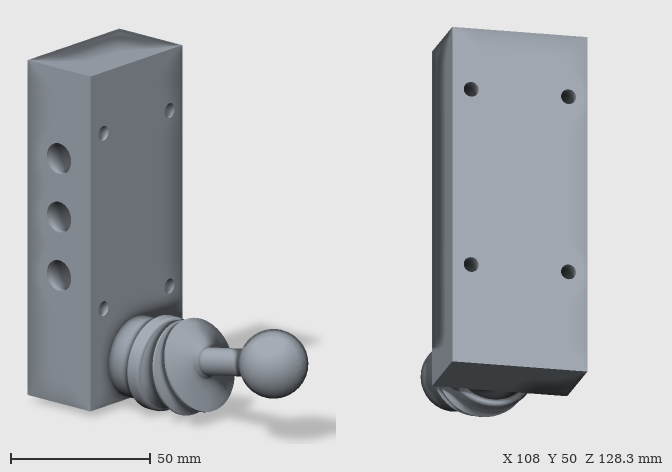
import cadquery as cq
import math

BODY_DEPTH = 30.0
BODY_WIDTH = 50.0
BODY_HEIGHT = 126.0

PORT_DIAMETER = 11.5
PORT_DEPTH = 15.0
PORT_MIDDLE_Z = 70.0
PORT_SPACING = 22.0
PORT_COUNT = 3

MOUNT_DIAMETER = 5.5
MOUNT_SPACING_Y = 36.0
MOUNT_SPACING_Z = 66.0

NECK_DIAMETER = 30.0
NECK_LENGTH = 10.0
NECK_CENTRE_Z = NECK_DIAMETER / 2
COLLAR_RADIUS = 17.3
COLLAR_RIM_LENGTH = 6.0
COLLAR_ROUND = 1.3

LEVER_ANGLE = 10.0
STEM_DIAMETER = 10.0
BALL_RADIUS = 12.5
BALL_CENTRE_X = 95.46
BALL_CENTRE_Z = 25.6

FOLD_RADIUS = 17.2
WAIST_RADIUS = 9.5
RING_WIDTH = 0.8
BELLOWS_RINGS = [
    (49.5, NECK_CENTRE_Z, WAIST_RADIUS, 5.7),
    (53.6, 15.5, FOLD_RADIUS, 12.4),
    (56.6, 16.3, WAIST_RADIUS, 16.0),
    (60.1, 17.8, FOLD_RADIUS, 22.5),
]

LIP_X = 63.4
LIP_RADIUS = 6.35
LIP_LENGTH = 1.0

COLLAR_START_X = BODY_DEPTH + NECK_LENGTH
COLLAR_RIM_END_X = COLLAR_START_X + COLLAR_RIM_LENGTH


def lever_axis_z(x):
    """Height of the stem axis at a given X."""
    return BALL_CENTRE_Z - (BALL_CENTRE_X - x) * math.tan(math.radians(LEVER_ANGLE))


def tilted_plane(x, z, tilt):
    """Plane facing +X, leaning upward by tilt degrees."""
    lean = math.radians(tilt)
    return cq.Plane(origin=(x, 0, z), xDir=(0, 1, 0), normal=(math.cos(lean), 0, math.sin(lean)))


def tilted_circle(x, z, radius, tilt, shift=0.0):
    """Circular wire on a tilted plane, moved by shift along the plane normal."""
    plane = tilted_plane(x, z, tilt)
    return cq.Workplane(plane).workplane(offset=shift).circle(radius).wires().val()


def make_body():
    body = cq.Workplane("XY").box(BODY_DEPTH, BODY_WIDTH, BODY_HEIGHT, centered=(False, True, False))
    for index in range(PORT_COUNT):
        port_z = PORT_MIDDLE_Z + (index - (PORT_COUNT - 1) / 2) * PORT_SPACING
        port = (
            cq.Workplane("XZ", origin=(BODY_DEPTH / 2, -BODY_WIDTH / 2, port_z))
            .circle(PORT_DIAMETER / 2)
            .extrude(-PORT_DEPTH)
        )
        body = body.cut(port)
    mounting_holes = (
        cq.Workplane("YZ", origin=(0, 0, PORT_MIDDLE_Z))
        .rarray(MOUNT_SPACING_Y, MOUNT_SPACING_Z, 2, 2)
        .circle(MOUNT_DIAMETER / 2)
        .extrude(BODY_DEPTH)
    )
    return body.cut(mounting_holes)


def make_neck_and_collar():
    neck = (
        cq.Workplane("YZ", origin=(BODY_DEPTH, 0, NECK_CENTRE_Z))
        .circle(NECK_DIAMETER / 2)
        .extrude(NECK_LENGTH)
    )
    collar = (
        cq.Workplane("YZ", origin=(COLLAR_START_X, 0, NECK_CENTRE_Z))
        .circle(COLLAR_RADIUS)
        .extrude(COLLAR_RIM_LENGTH)
        .edges()
        .fillet(COLLAR_ROUND)
    )
    return neck.union(collar)


def make_bellows():
    """Straight-sided folds from the collar to the lip on the stem."""
    collar_face_radius = COLLAR_RADIUS - COLLAR_ROUND
    wires = [tilted_circle(COLLAR_RIM_END_X, NECK_CENTRE_Z, collar_face_radius, 0)]
    for x, z, radius, tilt in BELLOWS_RINGS:
        wires.append(tilted_circle(x, z, radius, tilt, -RING_WIDTH / 2))
        wires.append(tilted_circle(x, z, radius, tilt, RING_WIDTH / 2))
    lip_z = lever_axis_z(LIP_X)
    wires.append(tilted_circle(LIP_X, lip_z, LIP_RADIUS, LEVER_ANGLE))
    wires.append(tilted_circle(LIP_X, lip_z, STEM_DIAMETER / 2, LEVER_ANGLE, LIP_LENGTH))
    return cq.Workplane(cq.Solid.makeLoft(wires, True))


def make_lever():
    stem_length = (BALL_CENTRE_X - LIP_X) / math.cos(math.radians(LEVER_ANGLE))
    stem = (
        cq.Workplane(tilted_plane(LIP_X, lever_axis_z(LIP_X), LEVER_ANGLE))
        .circle(STEM_DIAMETER / 2)
        .extrude(stem_length)
    )
    ball = cq.Workplane("XY", origin=(BALL_CENTRE_X, 0, BALL_CENTRE_Z)).sphere(BALL_RADIUS)
    return stem.union(ball)


result = make_body().union(make_neck_and_collar()).union(make_bellows()).union(make_lever())